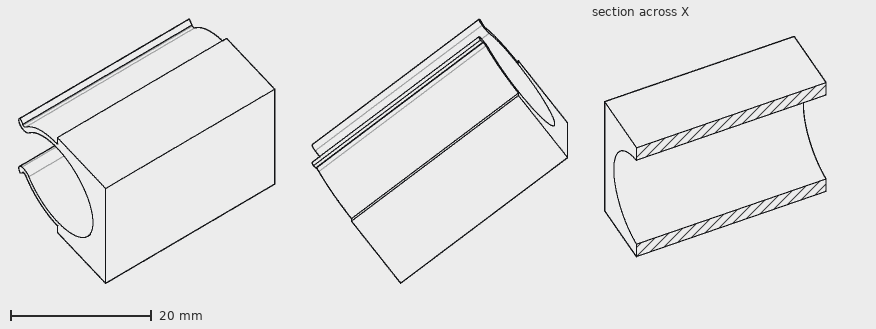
import cadquery as cq
import math

length = 30.0
width = 20.67
height = 21.9

bore_radius = 8.45
wall = 0.95
block_depth = 11.45
sleeve_radius = bore_radius + wall

lip_outer_radius = 1.08
lip_inner_radius = lip_outer_radius - wall
lip_x = block_depth - width + lip_outer_radius
lip_z = 5.52
lip_end_angle = 132.0

neck_outer_radius = 1.5
neck_inner_radius = neck_outer_radius - wall


def polar(radius, degrees, center=(0.0, 0.0)):
    """Point in the XZ plane at a radius and angle from a center."""
    angle = math.radians(degrees)
    return (center[0] + radius * math.cos(angle), center[1] + radius * math.sin(angle))


lip_center = (lip_x, lip_z)
lip_distance = math.hypot(lip_x, lip_z)
lip_direction = math.degrees(math.atan2(lip_z, lip_x))
neck_distance = bore_radius + neck_outer_radius
center_gap = neck_outer_radius - lip_outer_radius
neck_offset_cosine = (neck_distance**2 + lip_distance**2 - center_gap**2) / (2 * neck_distance * lip_distance)
neck_angle = lip_direction - math.degrees(math.acos(neck_offset_cosine))
neck_center = polar(neck_distance, neck_angle)

joint_angle = 360.0 + math.degrees(math.atan2(lip_z - neck_center[1], lip_x - neck_center[0]))
sleeve_mid_angle = (90.0 + neck_angle) / 2
neck_start_angle = neck_angle + 180.0
neck_mid_angle = (neck_start_angle + joint_angle) / 2
lip_mid_angle = (joint_angle + lip_end_angle) / 2


def mirrored(point):
    """The same point on the other side of the bore axis."""
    return (point[0], -point[1])


sleeve_start = (0.0, sleeve_radius)
sleeve_mid = polar(sleeve_radius, sleeve_mid_angle)
sleeve_end = polar(sleeve_radius, neck_angle)
inner_neck_mid = polar(neck_inner_radius, neck_mid_angle, neck_center)
inner_joint = polar(neck_inner_radius, joint_angle, neck_center)
inner_lip_mid = polar(lip_inner_radius, lip_mid_angle, lip_center)
inner_lip_end = polar(lip_inner_radius, lip_end_angle, lip_center)
outer_lip_end = polar(lip_outer_radius, lip_end_angle, lip_center)
outer_lip_mid = polar(lip_outer_radius, lip_mid_angle, lip_center)
outer_neck_mid = polar(neck_outer_radius, neck_mid_angle, neck_center)
outer_joint = polar(neck_outer_radius, joint_angle, neck_center)
bore_start = polar(bore_radius, neck_angle)

block_corner = (block_depth, height / 2)
block_step = (0.0, height / 2)

section = (
    cq.Workplane("XZ", origin=(0, length / 2, 0))
    .moveTo(*block_corner)
    .lineTo(*block_step)
    .lineTo(*sleeve_start)
    .threePointArc(sleeve_mid, sleeve_end)
    .threePointArc(inner_neck_mid, inner_joint)
    .threePointArc(inner_lip_mid, inner_lip_end)
    .lineTo(*outer_lip_end)
    .threePointArc(outer_lip_mid, outer_joint)
    .threePointArc(outer_neck_mid, bore_start)
    .threePointArc((bore_radius, 0), mirrored(bore_start))
    .threePointArc(mirrored(outer_neck_mid), mirrored(outer_joint))
    .threePointArc(mirrored(outer_lip_mid), mirrored(outer_lip_end))
    .lineTo(*mirrored(inner_lip_end))
    .threePointArc(mirrored(inner_lip_mid), mirrored(inner_joint))
    .threePointArc(mirrored(inner_neck_mid), mirrored(sleeve_end))
    .threePointArc(mirrored(sleeve_mid), mirrored(sleeve_start))
    .lineTo(*mirrored(block_step))
    .lineTo(*mirrored(block_corner))
    .close()
)

result = section.extrude(length)